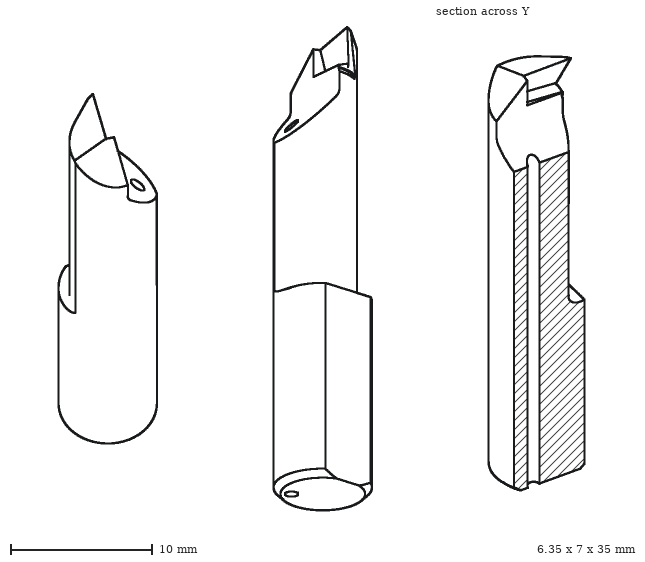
import cadquery as cq
import math

length = 35.0
shank_radius = 3.5
flat_x = -2.85
shank_top = 14.77
end_chamfer = 0.5
margin = 1.75

neck_radius = 3.15
neck_x = 1.12
neck_fillet = 0.77

relief_y = 0.1
relief_end_z = 26.67
relief_slope = 49.0
relief_fillet = 1.05

hole_diameter = 0.95
hole_x = 1.4
hole_y = 1.7

tip_x = -2.75
nose_x = -2.62
nose_y = -0.42
head_bottom = 32.13
clearance_y = -1.58
clearance_z = 32.4
top_fall_x = 0.1
top_fall_y = 0.19
back_chamfer_z = 31.92

groove_depth = 0.1
groove_bottom = 31.8

rake_length = 3.68
rake_turn = -5.5
rake_depth = 0.65
rake_low_z = 32.65
rake_end_z = 32.35


def make_shank():
    """Round shank with a chamfered lower end."""
    shank = cq.Workplane("XY").circle(shank_radius).extrude(shank_top)
    return shank.faces("<Z").chamfer(end_chamfer)


def make_neck():
    """Neck with a flared concave root, trimmed to the shank cylinder."""
    root_radius = neck_radius + neck_fillet
    root_top = shank_top + neck_fillet
    bend = neck_fillet * math.sqrt(0.5)
    neck = (
        cq.Workplane("XZ")
        .moveTo(0, shank_top)
        .lineTo(root_radius, shank_top)
        .threePointArc((root_radius - bend, root_top - bend), (neck_radius, root_top))
        .lineTo(neck_radius, length + margin)
        .lineTo(0, length + margin)
        .close()
        .revolve(360, (0, 0, 0), (0, 1, 0))
        .translate((neck_x, 0, 0))
    )
    envelope = cq.Workplane("XY").circle(shank_radius).extrude(length + margin)
    return neck.intersect(envelope)


def make_head():
    """Wedge that carries the cutting tip, with its side clearance face."""
    top = length + margin

    nose_distance = math.hypot(nose_x - neck_x, nose_y)
    tangent_angle = math.atan2(-nose_y, neck_x - nose_x) + math.acos(neck_radius / nose_distance)
    flank_end_x = neck_x - neck_radius * math.cos(tangent_angle)
    flank_end_y = -neck_radius * math.sin(tangent_angle)
    flank_share = (clearance_y - nose_y) / (flank_end_y - nose_y)
    clearance_x = nose_x + flank_share * (flank_end_x - nose_x)

    def clearance_edge(z):
        """Corner of flank and clearance face, at height z."""
        share = (length - z) / (length - clearance_z)
        return (
            nose_x + share * (clearance_x - nose_x),
            nose_y + share * (clearance_y - nose_y),
        )

    def outline(z):
        corner_x, corner_y = clearance_edge(z)
        front_x = corner_x + (tip_x - nose_x) * corner_y / nose_y
        return [
            (front_x, 0),
            (front_x + (nose_x - tip_x) * relief_y / nose_y, relief_y),
            (neck_x, relief_y),
            (neck_x, flank_end_y),
            (flank_end_x, flank_end_y),
            (corner_x, corner_y),
        ]

    return (
        cq.Workplane("XY", origin=(0, 0, head_bottom))
        .polyline(outline(head_bottom))
        .close()
        .workplane(offset=top - head_bottom)
        .polyline(outline(top))
        .close()
        .loft(ruled=True)
    )


def make_relief():
    """Cutter for the flat and the sloped run-out behind the head."""
    reach = neck_radius + margin
    slope = math.tan(math.radians(relief_slope))
    corner_z = relief_end_z + slope * (neck_radius - relief_y)
    cutter = (
        cq.Workplane("YZ")
        .polyline([
            (relief_y, length + 2 * margin),
            (relief_y, corner_z),
            (reach, corner_z - slope * (reach - relief_y)),
            (reach, length + 2 * margin),
        ])
        .close()
        .extrude(2 * shank_radius, both=True)
    )
    corner = cq.selectors.NearestToPointSelector((0, relief_y, corner_z))
    return cutter.edges(corner).fillet(relief_fillet)


def make_groove():
    """Ring with a conical lower side, kept to the tip side of the neck."""
    outer = neck_radius + margin
    inner = neck_radius - groove_depth
    ring = (
        cq.Workplane("XZ")
        .polyline([
            (neck_radius, groove_bottom),
            (inner, head_bottom),
            (outer, head_bottom),
            (outer, groove_bottom),
        ])
        .close()
        .revolve(360, (0, 0, 0), (0, 1, 0))
        .translate((neck_x, 0, 0))
    )
    tip_side = cq.Workplane("XY").box(
        outer, relief_y - clearance_y, length, centered=False
    ).translate((neck_x - outer, clearance_y, 0))
    return ring.intersect(tip_side)


def make_rake_pocket(end_y, end_z):
    """Cutter whose sloped floor is the rake face, with an end wall rising to the given point."""
    floor_slope = rake_depth / (length - rake_low_z)
    return (
        cq.Workplane("YZ")
        .polyline([
            (floor_slope * margin, length + margin),
            (-rake_depth, rake_low_z),
            (end_y, end_z),
            (margin, end_z),
            (margin, length + margin),
        ])
        .close()
        .extrude(rake_length + margin)
        .translate((-margin, 0, 0))
        .rotate((0, 0, 0), (0, 0, 1), rake_turn)
        .translate((tip_x, 0, 0))
    )


def make_top_cut():
    """Cutter above the top face, which passes through the tip."""
    size = 8 * shank_radius
    top_plane = cq.Plane(
        origin=(tip_x, 0, length),
        xDir=(1, 0, -top_fall_x),
        normal=(top_fall_x, -top_fall_y, 1),
    )
    return cq.Workplane(top_plane).rect(size, size).extrude(size)


def make_back_chamfer():
    """Cutter for the 45 degree chamfer on the +X side of the head."""
    size = 2 * shank_radius
    return (
        cq.Workplane("XZ")
        .polyline([
            (shank_radius + margin, back_chamfer_z - margin),
            (shank_radius - size, back_chamfer_z + size),
            (shank_radius + margin, back_chamfer_z + size),
        ])
        .close()
        .extrude(size, both=True)
    )


shank_flat = cq.Workplane("XY").box(
    margin, 2 * shank_radius, shank_top, centered=(False, True, False)
).translate((flat_x - margin, 0, 0))

coolant_hole = (
    cq.Workplane("XY").center(hole_x, hole_y).circle(hole_diameter / 2).extrude(length)
)

head = make_head().cut(make_rake_pocket(-rake_depth, head_bottom - margin))

result = (
    make_shank()
    .union(make_neck())
    .cut(shank_flat)
    .cut(make_relief())
    .cut(make_groove())
    .cut(make_rake_pocket(relief_y, rake_end_z))
    .union(head)
    .cut(make_top_cut())
    .cut(make_back_chamfer())
    .cut(coolant_hole)
)